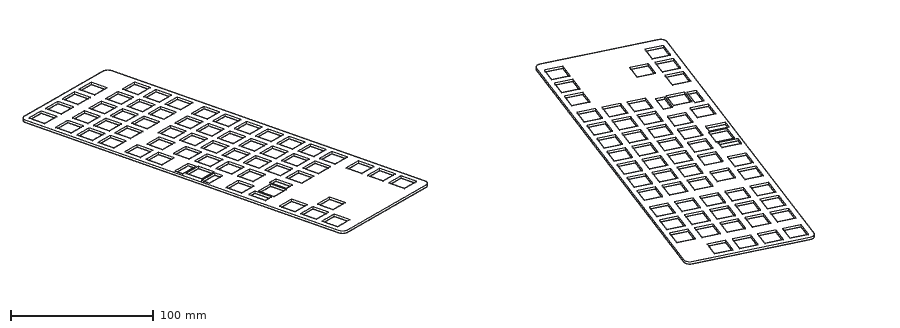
import cadquery as cq

PLATE_LENGTH = 288.98
PLATE_WIDTH = 98.58
PLATE_THICKNESS = 2.0
CORNER_RADIUS = 4.5

KEY_UNIT = 19.05
KEY_CUTOUT = 14.0

STABILIZER_SPACING = 23.876
STABILIZER_WIDTH = 7.0
STABILIZER_LENGTH = 15.0
STABILIZER_OFFSET = 1.5

FIRST_KEY_X = 11.31
FIRST_KEY_Y = 11.24

EDGE_COLUMN = [0]
LEFT_BLOCK = [1.25, 2.25, 3.25]
MAIN_BLOCK = [4.5, 5.5, 6.5, 7.5, 8.5, 9.5, 10.5]
RIGHT_BLOCK = [11.75, 12.75, 13.75]
SHIFTED_KEYS = [4.75, 6, 7, 8, 9]
SPACE_KEY = 7.375
BOTTOM_ROW_KEYS = [4.5, 5.5, SPACE_KEY, 9.25]
UP_ARROW = [12.75]

KEY_ROWS = [
    EDGE_COLUMN + LEFT_BLOCK + BOTTOM_ROW_KEYS + RIGHT_BLOCK,
    EDGE_COLUMN + LEFT_BLOCK + SHIFTED_KEYS + UP_ARROW,
    EDGE_COLUMN + LEFT_BLOCK + MAIN_BLOCK,
    EDGE_COLUMN + LEFT_BLOCK + MAIN_BLOCK,
    LEFT_BLOCK + MAIN_BLOCK + RIGHT_BLOCK,
]

TALL_KEY_COLUMN = 10.375
TALL_KEY_ROW = 0.5


def key_center(column, row):
    """Position on the plate of a key given in key units."""
    return (FIRST_KEY_X + column * KEY_UNIT, FIRST_KEY_Y + row * KEY_UNIT)


def make_plate():
    """Flat plate with rounded corners."""
    plate = cq.Workplane("XY").box(PLATE_LENGTH, PLATE_WIDTH, PLATE_THICKNESS, centered=False)
    return plate.edges("|Z").fillet(CORNER_RADIUS)


def through_cutouts(centers, size_x, size_y):
    """Rectangular prisms, as thick as the plate, at the given centres."""
    return cq.Workplane("XY").pushPoints(centers).rect(size_x, size_y).extrude(PLATE_THICKNESS)


def key_cutouts():
    """Square openings for all keys."""
    centers = [key_center(column, row) for row, columns in enumerate(KEY_ROWS) for column in columns]
    centers.append(key_center(TALL_KEY_COLUMN, TALL_KEY_ROW))
    return through_cutouts(centers, KEY_CUTOUT, KEY_CUTOUT)


def space_key_stabilizers():
    """Upright slots left and right of the space key."""
    x, y = key_center(SPACE_KEY, 0)
    centers = [(x + side * STABILIZER_SPACING / 2, y - STABILIZER_OFFSET) for side in (-1, 1)]
    return through_cutouts(centers, STABILIZER_WIDTH, STABILIZER_LENGTH)


def tall_key_stabilizers():
    """Lying slots below and above the tall key."""
    x, y = key_center(TALL_KEY_COLUMN, TALL_KEY_ROW)
    centers = [(x - STABILIZER_OFFSET, y + side * STABILIZER_SPACING / 2) for side in (-1, 1)]
    return through_cutouts(centers, STABILIZER_LENGTH, STABILIZER_WIDTH)


result = make_plate().cut(key_cutouts()).cut(space_key_stabilizers()).cut(tall_key_stabilizers())